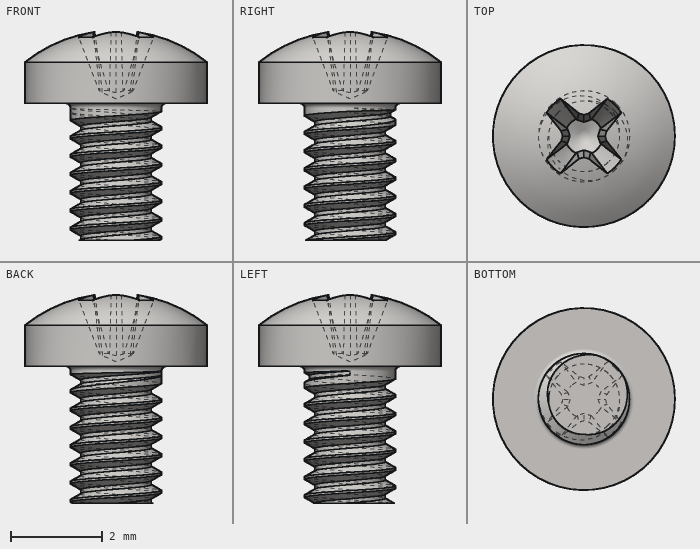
import cadquery as cq
import math

head_radius = 1.9995
head_underside = 3.002
head_edge = 3.907
dome_apex = 4.605

shank_radius = head_radius / 2
neck_fillet = 0.1
pitch = 0.4
crest_width = pitch / 8
groove_depth = 0.225
flank_slope = math.tan(math.radians(30))
crest_clearance = 0.02
groove_end = 2.655
full_turns = 7.5
runout_turns = 0.5
no_taper = 360

arm_count = 4
recess_bottom = 3.29
recess_top = dome_apex
recess_top_radius = 1.037
recess_bottom_radius = 0.41
recess_tip_depth = 0.185
arm_reach = 1.19
arm_narrowing = 0.09


def make_blank():
    """Domed head, shank and neck fillet, revolved about Z."""
    dome_rise = dome_apex - head_edge
    dome_radius = (head_radius**2 + dome_rise**2) / (2 * dome_rise)
    middle_radius = head_radius / 2
    middle_height = dome_apex - dome_radius + math.sqrt(dome_radius**2 - middle_radius**2)
    return (
        cq.Workplane("XZ")
        .lineTo(shank_radius, 0)
        .lineTo(shank_radius, head_underside - neck_fillet)
        .radiusArc((shank_radius + neck_fillet, head_underside), neck_fillet)
        .lineTo(head_radius, head_underside)
        .lineTo(head_radius, head_edge)
        .threePointArc((middle_radius, middle_height), (0, dome_apex))
        .close()
        .revolve(360, (0, 0, 0), (0, 1, 0))
    )


def sweep_groove(start_height, turns, taper_angle):
    """V groove cutter along a right-handed helix starting on the +X side."""
    root_radius = shank_radius - groove_depth
    outer_radius = shank_radius + crest_clearance
    outer_half = (pitch - crest_width) / 2 + crest_clearance * flank_slope
    root_half = outer_half - (groove_depth + crest_clearance) * flank_slope
    path_pitch = pitch / math.cos(math.radians(taper_angle))
    helix = cq.Wire.makeHelix(
        path_pitch, turns * path_pitch, root_radius, cq.Vector(0, 0, start_height), angle=taper_angle
    )
    return (
        cq.Workplane("XZ")
        .polyline([
            (root_radius, start_height - root_half),
            (outer_radius, start_height - outer_half),
            (outer_radius, start_height + outer_half),
            (root_radius, start_height + root_half),
        ])
        .close()
        .sweep(cq.Workplane(helix), isFrenet=True)
    )


def cut_thread(blank):
    """Cut the full-depth groove, then the half turn where it rises out of the shank."""
    full_groove = sweep_groove(groove_end - full_turns * pitch, full_turns, no_taper)
    full_groove = full_groove.rotate((0, 0, 0), (0, 0, 1), -360 * full_turns)

    runout_rise = groove_depth
    runout_angle = math.degrees(math.atan(runout_rise / (runout_turns * pitch)))
    runout_groove = sweep_groove(groove_end, runout_turns, runout_angle)
    shank_zone = (
        cq.Workplane("XY")
        .circle(shank_radius + crest_clearance)
        .extrude(head_underside - neck_fillet)
    )
    return blank.cut(full_groove).cut(runout_groove.intersect(shank_zone))


def recess_outline(corner_reach, wall_reach, wall_half_width):
    """Cross outline: two wall corners and two end corners per arm, one inner corner between arms."""
    end_half_width = wall_half_width - (arm_reach - wall_reach) * arm_narrowing
    points = []
    for arm in range(arm_count):
        angle = math.radians(45 + 360 / arm_count * arm)
        arm_points = [
            (corner_reach / math.sqrt(2), -corner_reach / math.sqrt(2)),
            (wall_reach, -wall_half_width),
            (arm_reach, -end_half_width),
            (arm_reach, end_half_width),
            (wall_reach, wall_half_width),
        ]
        for along, across in arm_points:
            x = along * math.cos(angle) - across * math.sin(angle)
            y = along * math.sin(angle) + across * math.cos(angle)
            points.append((x, y))
    return points


def make_recess():
    """Drafted cross trimmed by a steep cone, above a shallow conical bottom."""
    cross_floor = recess_bottom - recess_tip_depth
    floor_outline = recess_outline(corner_reach=0.305, wall_reach=0.355, wall_half_width=0.145)
    top_outline = recess_outline(corner_reach=0.47, wall_reach=0.435, wall_half_width=0.28)
    cross = (
        cq.Workplane("XY", origin=(0, 0, recess_bottom))
        .polyline(floor_outline)
        .close()
        .workplane(offset=recess_top - recess_bottom)
        .polyline(top_outline)
        .close()
        .loft(ruled=True)
    )
    base = (
        cq.Workplane("XY", origin=(0, 0, cross_floor))
        .polyline(floor_outline)
        .close()
        .extrude(recess_tip_depth)
    )
    cone = (
        cq.Workplane("XZ")
        .moveTo(0, cross_floor)
        .lineTo(recess_bottom_radius, recess_bottom)
        .lineTo(recess_top_radius, recess_top)
        .lineTo(0, recess_top)
        .close()
        .revolve(360, (0, 0, 0), (0, 1, 0))
    )
    return cross.union(base).intersect(cone)


result = cut_thread(make_blank()).cut(make_recess())